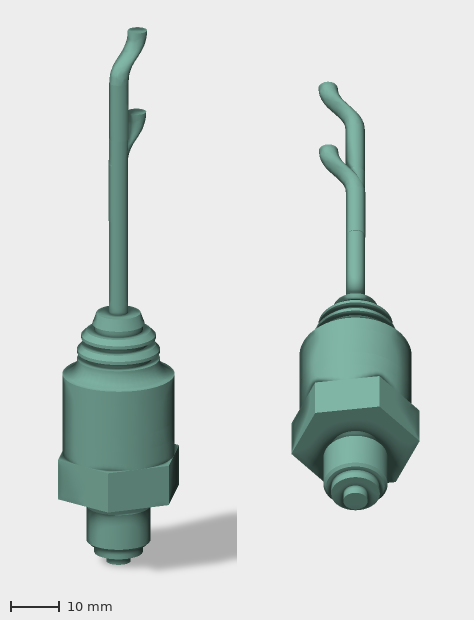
import cadquery as cq
import math

TIP_TOP = 2.0
THREAD_BOTTOM = 4.1
THREAD_TOP = 13.0
HEX_BOTTOM = 15.0
HEX_TOP = 23.4
FITTING_TOP = 27.5
RING_TOP = 30.9
SLEEVE_TOP = 37.5
BOOT_SHOULDER = 40.5
BOOT_TOP = 53.8
SHORT_STRAND_START = 73.7
LONG_STRAND_START = 91.4
OVERALL_HEIGHT = 113.2

BODY_DIAMETER = 23.0
HEX_TURN = 30
TIP_DIAMETER = 5.0
SPIGOT_DIAMETER = 10.0
THREAD_DIAMETER = 13.1
THREAD_CHAMFER = 0.6
THREAD_LEAD_IN = 0.9

BOOT_FILLET_TOP = 43.9
BOOT_FILLET_DIAMETER = 17.0
RIDGE_RIM_HEIGHT = 0.7
HEAD_TOP_DIAMETER = 9.1
HEAD_RIM_DIAMETER = 10.8
HEAD_BOTTOM = 51.4
RIDGES = [
    (13.8, 17.0, 15.3, 45.3),
    (12.0, 15.3, 13.1, 48.3),
]
RIDGE_HEIGHT = 1.7
HEAD_NECK_DIAMETER = 10.0

CABLE_DIAMETER = 4.0
SWAY_Y = 6.0
SWAY_HEIGHT = 9.7
STRAND_SHIFT_X = 0.1


def cylinder(diameter, bottom, top):
    return cq.Workplane("XY").workplane(offset=bottom).circle(diameter / 2).extrude(top - bottom)


def make_fitting():
    """Hexagonal fitting with a round land on top and a threaded spigot with a tip below."""
    thread_radius = THREAD_DIAMETER / 2
    spigot_profile = [
        (0, 0),
        (TIP_DIAMETER / 2, 0),
        (TIP_DIAMETER / 2, TIP_TOP),
        (SPIGOT_DIAMETER / 2, TIP_TOP),
        (SPIGOT_DIAMETER / 2, THREAD_BOTTOM),
        (thread_radius - THREAD_CHAMFER, THREAD_BOTTOM),
        (thread_radius, THREAD_BOTTOM + THREAD_CHAMFER),
        (thread_radius, THREAD_TOP - THREAD_LEAD_IN),
        (SPIGOT_DIAMETER / 2, THREAD_TOP),
        (SPIGOT_DIAMETER / 2, HEX_BOTTOM),
        (0, HEX_BOTTOM),
    ]
    spigot = cq.Workplane("XZ").polyline(spigot_profile).close().revolve(360, (0, 0), (0, 1))
    hexagon = (
        cq.Workplane("XY")
        .workplane(offset=HEX_BOTTOM)
        .polygon(6, BODY_DIAMETER, circumscribed=True)
        .extrude(HEX_TOP - HEX_BOTTOM)
        .rotate((0, 0, 0), (0, 0, 1), HEX_TURN)
    )
    return spigot.union(hexagon).union(cylinder(BODY_DIAMETER, HEX_TOP, FITTING_TOP))


def ridge_points(neck_diameter, rim_diameter, top_diameter, neck_bottom, rim_bottom):
    """Outer profile of one boot ridge, from the foot of its neck to the edge of its tapered top."""
    return [
        (neck_diameter / 2, neck_bottom),
        (neck_diameter / 2, rim_bottom),
        (rim_diameter / 2, rim_bottom),
        (rim_diameter / 2, rim_bottom + RIDGE_RIM_HEIGHT),
        (top_diameter / 2, rim_bottom + RIDGE_HEIGHT),
    ]


def make_boot():
    """Ridged strain-relief boot with a hole for the cable."""
    body_radius = BODY_DIAMETER / 2
    fillet_radius = BOOT_FILLET_DIAMETER / 2
    fillet_width = body_radius - fillet_radius
    fillet_height = BOOT_FILLET_TOP - BOOT_SHOULDER
    arc_middle = math.sqrt(0.5)
    fillet_middle = (
        body_radius - fillet_width * arc_middle,
        BOOT_FILLET_TOP - fillet_height * arc_middle,
    )

    stack = []
    neck_bottom = BOOT_FILLET_TOP
    for neck_diameter, rim_diameter, top_diameter, rim_bottom in RIDGES:
        stack += ridge_points(neck_diameter, rim_diameter, top_diameter, neck_bottom, rim_bottom)
        neck_bottom = rim_bottom + RIDGE_HEIGHT
    stack += [
        (HEAD_NECK_DIAMETER / 2, neck_bottom),
        (HEAD_NECK_DIAMETER / 2, HEAD_BOTTOM),
        (HEAD_RIM_DIAMETER / 2, HEAD_BOTTOM),
        (HEAD_TOP_DIAMETER / 2, BOOT_TOP),
        (0, BOOT_TOP),
    ]

    profile = cq.Workplane("XZ").moveTo(0, SLEEVE_TOP).lineTo(body_radius, SLEEVE_TOP)
    profile = profile.lineTo(body_radius, BOOT_SHOULDER)
    profile = profile.threePointArc(fillet_middle, (fillet_radius, BOOT_FILLET_TOP))
    for point in stack:
        profile = profile.lineTo(*point)
    boot = profile.close().revolve(360, (0, 0), (0, 1))
    return boot.cut(cylinder(CABLE_DIAMETER, SLEEVE_TOP, BOOT_TOP))


def make_strand(start, shift_x):
    """Strand that rises straight from its start, then sways toward +Y and back to vertical.

    Every level section is the same circle, so the swaying stretch is sheared, not bent.
    """
    end = start + OVERALL_HEIGHT - LONG_STRAND_START
    up = (0, 1)
    path = (
        cq.Workplane("YZ")
        .moveTo(0, start)
        .lineTo(0, end - SWAY_HEIGHT)
        .spline([(SWAY_Y, end)], tangents=[up, up], includeCurrent=True)
    )
    section = cq.Workplane("XY").workplane(offset=start).circle(CABLE_DIAMETER / 2)
    strand = section.sweep(path, normal=cq.Vector(0, 0, 1))
    return strand.translate((shift_x, 0, 0))


fitting = make_fitting()
ring = cylinder(BODY_DIAMETER, FITTING_TOP, RING_TOP)
sleeve = cylinder(BODY_DIAMETER, RING_TOP, SLEEVE_TOP)
boot = make_boot()

short_strand = make_strand(SHORT_STRAND_START, -STRAND_SHIFT_X)
cable = cylinder(CABLE_DIAMETER, SLEEVE_TOP, LONG_STRAND_START).cut(short_strand)
long_strand = make_strand(LONG_STRAND_START, STRAND_SHIFT_X).cut(short_strand)

result = cq.Compound.makeCompound([
    fitting.val(),
    ring.val(),
    sleeve.val(),
    boot.val(),
    cable.val(),
    long_strand.val(),
    short_strand.val(),
])